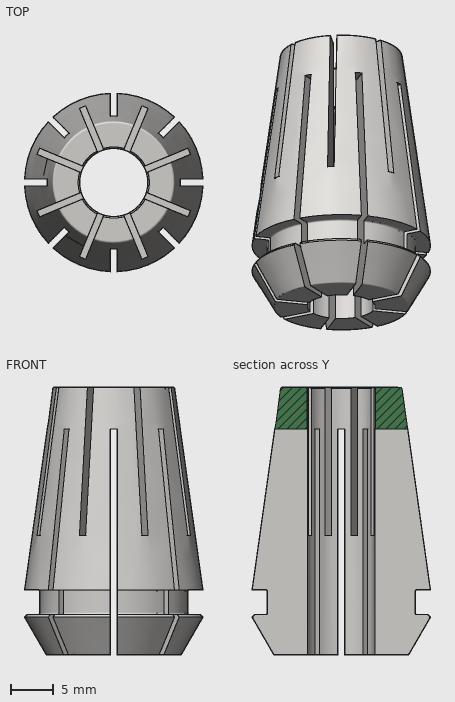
import cadquery as cq
import math

height = 31.5
body_diameter = 21.0
bore_diameter = 8.0
taper_angle = 8.0

flange_angle = 30.0
flange_top_z = 4.75
flange_chamfer = 0.3
neck_radius = 8.73
neck_top_z = 7.65
neck_fillet = 0.2

top_fillet = 0.25
bore_chamfer = 0.2
base_fillet = 0.2

slot_width = 0.8
slots_per_set = 8
lower_slot_top_z = 26.55
upper_slot_floor_z = 14.05

slot_pitch = 360.0 / slots_per_set
body_radius = body_diameter / 2
bore_radius = bore_diameter / 2
top_radius = body_radius - (height - neck_top_z) * math.tan(math.radians(taper_angle))
flange_edge_z = flange_top_z - flange_chamfer
base_radius = body_radius - flange_edge_z * math.tan(math.radians(flange_angle))


def circle_edges(solid, z, radius):
    """Select the circular edges at one height and radius."""
    tolerance = 0.003
    box = cq.selectors.BoxSelector(
        (-radius - tolerance, -radius - tolerance, z - tolerance),
        (radius + tolerance, radius + tolerance, z + tolerance),
        boundingbox=True,
    )
    return solid.edges(box).edges(cq.selectors.RadiusNthSelector(-1))


def turned_body():
    """Revolve the outer shape: flange, neck groove and long cone."""
    profile = [
        (0, 0),
        (base_radius, 0),
        (body_radius, flange_edge_z),
        (body_radius - flange_chamfer, flange_top_z),
        (neck_radius, flange_top_z),
        (neck_radius, neck_top_z),
        (body_radius, neck_top_z),
        (top_radius, height),
        (0, height),
    ]
    body = cq.Workplane("XZ").polyline(profile).close().revolve(360, (0, 0, 0), (0, 1, 0))
    body = circle_edges(body, height, top_radius).fillet(top_fillet)
    body = circle_edges(body, 0, base_radius).fillet(base_fillet)
    for z in (flange_top_z, neck_top_z):
        body = circle_edges(body, z, neck_radius).fillet(neck_fillet)
    return body


def bore():
    """Through bore with a small chamfer at its upper mouth."""
    hole = cq.Workplane("XY").circle(bore_radius).extrude(height)
    mouth = cq.Solid.makeCone(
        bore_radius, bore_radius + bore_chamfer, bore_chamfer, pnt=(0, 0, height - bore_chamfer)
    )
    return hole.union(cq.Workplane(mouth))


def slot_set(bottom_z, top_z, start_angle):
    """Evenly spaced radial slots from the axis out through the wall."""
    slot_length = body_radius + slot_width
    slots = cq.Workplane("XY")
    for index in range(slots_per_set):
        slot = (
            cq.Workplane("XY", origin=(0, 0, bottom_z))
            .rect(slot_length, slot_width)
            .extrude(top_z - bottom_z)
            .translate((slot_length / 2, 0, 0))
            .rotate((0, 0, 0), (0, 0, 1), start_angle + index * slot_pitch)
        )
        slots = slots.add(slot)
    return slots.combine()


result = (
    turned_body()
    .cut(bore())
    .cut(slot_set(0, lower_slot_top_z, 0))
    .cut(slot_set(upper_slot_floor_z, height, slot_pitch / 2))
)